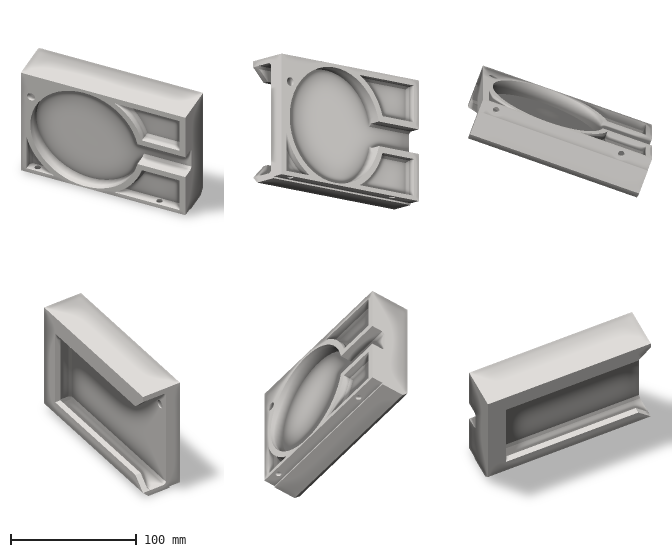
import cadquery as cq

length = 143.0
depth = 35.0
height = 100.0
wall = 5.0
chamfer = 2.0
overlap = 1.5

slab_thickness = 13.0
lip_thickness = 5.0
lip_width = 16.0
cavity_back = depth - lip_thickness

step_depth = 10.0
step_height = 1.5
rear_bevel = 5.0

disc_radius = 47.0
disc_x = 55.3
mid_z = height / 2
recess_depth = 12.0
slot_half_width = 10.0

pocket_depth = 8.0
ring_radius = disc_radius + wall
pocket_end = length - wall
pocket_top = height - wall
slot_wall_half = slot_half_width + wall

wall_hole_diameter = 7.0
wall_hole_x = 9.0
wall_hole_z = 78.4
floor_hole_diameter = 5.0
floor_hole_y = 4.5
floor_hole_xs = (12.7, 118.5)


def box(x0, x1, y0, y1, z0, z1):
    """Box between two opposite corners."""
    return cq.Workplane("XY").box(x1 - x0, y1 - y0, z1 - z0, centered=False).translate((x0, y0, z0))


def cylinder_along_y(x, z, radius, y0, y1):
    """Cylinder running in +Y from y0 to y1."""
    axis = cq.Vector(0, 1, 0)
    return cq.Workplane(cq.Solid.makeCylinder(radius, y1 - y0, cq.Vector(x, y0, z), axis))


def make_body():
    """Block with a bevelled lower rear edge and a raised front strip underneath."""
    side_outline = [
        (0, step_height),
        (step_depth, step_height),
        (step_depth, 0),
        (depth - rear_bevel, 0),
        (depth, rear_bevel),
        (depth, height),
        (0, height),
    ]
    return cq.Workplane("YZ").polyline(side_outline).close().extrude(length)


def make_cavity():
    """Chamfered chamber behind the slab, open at the -X end."""
    chamber = box(-overlap, pocket_end, slab_thickness, cavity_back, wall, height - wall)
    return chamber.faces(">X or <Y or >Y").edges("not <X").chamfer(chamfer)


def make_rear_opening():
    """Window in the rear lip, flaring at 45 degrees to the -X end."""
    flare_length = lip_width - wall
    outline = [
        (0, wall),
        (flare_length, lip_width),
        (length - lip_width, lip_width),
        (length - lip_width, height - lip_width),
        (flare_length, height - lip_width),
        (0, height - wall),
    ]
    start = depth + overlap
    cut_length = start - cavity_back + chamfer
    return cq.Workplane("XZ", origin=(0, start, 0)).polyline(outline).close().extrude(cut_length)


def make_slot():
    """Slot from the round recess to the +X end, with chamfered floor edges."""
    slot = box(
        disc_x, length + overlap, -overlap, recess_depth,
        mid_z - slot_half_width, mid_z + slot_half_width,
    )
    return slot.faces(">Y").edges("|X").chamfer(chamfer)


def make_ring():
    """Ring wall left between the pockets, widened by a chamfer at the pocket floor."""
    ring = cylinder_along_y(disc_x, mid_z, ring_radius, -overlap, pocket_depth)
    flare = cq.Solid.makeCone(
        ring_radius, ring_radius + chamfer, chamfer,
        cq.Vector(disc_x, pocket_depth - chamfer, mid_z), cq.Vector(0, 1, 0),
    )
    return ring.union(cq.Workplane(flare))


def make_pocket(x0, x1, z0, z1, chamfered_sides):
    """Corner pocket bounded by the ring, chamfered along the chosen floor edges."""
    pocket = box(x0, x1, -overlap, pocket_depth, z0, z1)
    pocket = pocket.faces(">Y").edges(chamfered_sides).chamfer(chamfer)
    return pocket.cut(make_ring())


lower_right_pocket = make_pocket(disc_x, pocket_end, wall, mid_z - slot_wall_half, ">X or >Z")
upper_right_pocket = make_pocket(disc_x, pocket_end, mid_z + slot_wall_half, pocket_top, ">X or >Z or <Z")
lower_left_pocket = make_pocket(wall, disc_x, wall, mid_z, "<X")

result = make_body().cut(make_cavity()).cut(make_rear_opening())
result = result.cut(cylinder_along_y(disc_x, mid_z, disc_radius, -overlap, recess_depth))
result = result.cut(make_slot())
for pocket in (lower_right_pocket, upper_right_pocket, lower_left_pocket):
    result = result.cut(pocket)

slab_hole_end = slab_thickness + overlap
result = result.cut(
    cylinder_along_y(wall_hole_x, wall_hole_z, wall_hole_diameter / 2, -overlap, slab_hole_end)
)

for hole_x in floor_hole_xs:
    hole = cq.Workplane("XY").center(hole_x, floor_hole_y).circle(floor_hole_diameter / 2).extrude(wall + overlap)
    result = result.cut(hole)